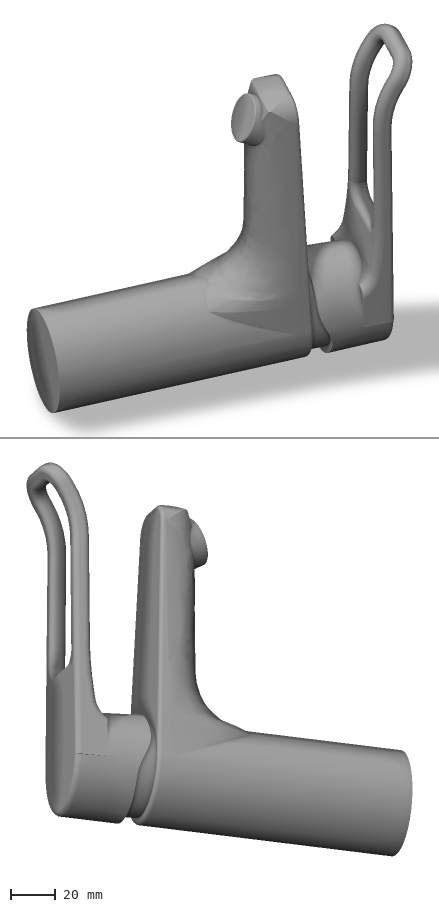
import cadquery as cq
import math


PIPE_RADIUS = 23.95
BODY_LEAN = 2
BODY_BACK_Y = 119.9
BODY_BACK_Z = -0.6
BODY_RIM_DEPTH = 2.0
BODY_BACK_ROUND = 1.8
RISER_TOP_Z = 123.3
RISER_FRONT_Y = 95.8
RISER_FLAT_SIDE = 6.0
RISER_OVERRUN = 5.0
SIDE_LEAN = math.radians(3.7)
HEAD_CORNER_RADIUS = 10.3
HEAD_EDGE_Y = 102.3
HEAD_EDGE_Z = 120.2
HEAD_CROWN_MIDDLE = (107.5, 122.2)
HEAD_CROWN_BACK_Y = 113.0
HEAD_FOOT_Z = 101.0

SADDLE_RADIUS = 25.0
SADDLE_FOOT_Z = 21.6
SADDLE_START = math.radians(6)
SADDLE_STEPS = 5
TOE_FRONT_Y = 60.0
TOE_Z = 17.0
FOOT_FRONT_Y = 50.0

OUTLET_RADIUS = 11.1
OUTLET_TAPER = 5
OUTLET_CHAMFER = 0.4
OUTLET_LENGTH = 11.0
OUTLET_TILT = math.radians(24)
OUTLET_Y = 94.3
OUTLET_Z = 109.6

CAP_FRONT_RADIUS = 24.95
CAP_BACK_RADIUS = 23.8
CAP_FRONT_Y = 122.7
CAP_LOW_FRONT_Y = 129.3
CAP_STEP_TOP_Z = 12.0
CAP_STEP_BOTTOM_Z = -11.0
NECK_RADIUS = 21.5
NECK_OVERLAP = 2.0

HANDLE_BACK_Y = 158.4
ROD_DEPTH = 7.9
ROD_WIDTH = 7.9
ROD_FRONT_ROUND = 3.4
ROD_BACK_ROUND = 2.5
HANDLE_FRONT_Y = HANDLE_BACK_Y - ROD_DEPTH
HANDLE_BOTTOM_Z = -2.0
HANDLE_HALF_WIDTH = 24.2
HANDLE_SIDE_LEAN = math.radians(1.85)
BEND_START_Z = 102.0
BEND_ANGLE = math.radians(32.5)
BEND_RADIUS = 43.0
TIP_STRAIGHT = 0.75
LOOP_CORNER_RADIUS = 9.5
WEB_TOP_Z = 53.0
ROOT_FRONT_Y = 148.2
ROOT_Z = 25.2
ROOT_FLARE_Y = 143.5
ROOT_FLARE_Z = 17.4
WINDOW_BOTTOM_Z = 44.0
WINDOW_CORNER_RADIUS = 6.0

TRIM = 200.0


def body_half_width(z):
    """Half-width of the riser: its sides are tangent to the pipe and lean inwards."""
    return (PIPE_RADIUS - z * math.sin(SIDE_LEAN)) / math.cos(SIDE_LEAN)


def riser_section(z, front_y):
    """U-shaped horizontal section: half an ellipse in front of straight sides."""
    half_width = body_half_width(z)
    back_y = BODY_BACK_Y + RISER_OVERRUN
    side_y = BODY_BACK_Y - RISER_FLAT_SIDE
    nose = cq.Edge.makeEllipse(
        half_width, side_y - front_y, cq.Vector(0, side_y, z), angle1=180, angle2=360
    )
    start = nose.startPoint()
    end = nose.endPoint()
    back_start = cq.Vector(start.x, back_y, z)
    back_end = cq.Vector(end.x, back_y, z)
    return cq.Wire.assembleEdges([
        nose,
        cq.Edge.makeLine(end, back_end),
        cq.Edge.makeLine(back_end, back_start),
        cq.Edge.makeLine(back_start, start),
    ])


def body_outline(depth):
    """Block with the outline of the body along the pipe: round foot, leaning sides, rounded head."""
    tangent_x = PIPE_RADIUS * math.cos(SIDE_LEAN)
    tangent_z = PIPE_RADIUS * math.sin(SIDE_LEAN)
    top_half_width = body_half_width(RISER_TOP_Z)
    return (
        cq.Workplane("XZ").moveTo(-tangent_x, tangent_z).lineTo(-top_half_width, RISER_TOP_Z)
        .lineTo(top_half_width, RISER_TOP_Z).lineTo(tangent_x, tangent_z)
        .threePointArc((0, -PIPE_RADIUS), (-tangent_x, tangent_z))
        .close().extrude(depth)
        .faces(">Z").edges("not |X").fillet(HEAD_CORNER_RADIUS)
    )


def head_side():
    """Side outline of the head: crowned top and a front cut parallel to the outlet disc."""
    foot_y = HEAD_EDGE_Y - (HEAD_EDGE_Z - HEAD_FOOT_Z) * math.tan(OUTLET_TILT)
    return (
        cq.Workplane("YZ").moveTo(0, -TRIM).lineTo(0, HEAD_FOOT_Z).lineTo(foot_y, HEAD_FOOT_Z)
        .lineTo(HEAD_EDGE_Y, HEAD_EDGE_Z)
        .threePointArc(HEAD_CROWN_MIDDLE, (HEAD_CROWN_BACK_Y, RISER_TOP_Z))
        .lineTo(TRIM, RISER_TOP_Z).lineTo(TRIM, -TRIM).close().extrude(TRIM, both=True)
    )


def make_riser():
    foot = riser_section(0, FOOT_FRONT_Y)
    toe = riser_section(TOE_Z, TOE_FRONT_Y)
    saddle = []
    for i in range(SADDLE_STEPS + 1):
        angle = SADDLE_START + (math.pi / 2 - SADDLE_START) * i / SADDLE_STEPS
        z = SADDLE_FOOT_Z + SADDLE_RADIUS * (1 - math.cos(angle))
        front_y = RISER_FRONT_Y - SADDLE_RADIUS * (1 - math.sin(angle))
        saddle.append(riser_section(z, front_y))
    top = riser_section(RISER_TOP_Z + RISER_OVERRUN, RISER_FRONT_Y)

    lower = cq.Workplane(obj=cq.Solid.makeLoft([foot, toe, saddle[0]], True))
    middle = cq.Workplane(obj=cq.Solid.makeLoft(saddle))
    upper = cq.Workplane(obj=cq.Solid.makeLoft([saddle[-1], top], True))
    riser = lower.union(middle).union(upper)
    return riser.intersect(body_outline(-TRIM)).intersect(head_side())


def lean_body(shape, distance):
    """Move a shape forwards along the pipe axis, then tilt it onto the back of the body."""
    leaned = shape.translate((0, -distance, 0)).rotate((0, 0, 0), (1, 0, 0), BODY_LEAN)
    return leaned.translate((0, BODY_BACK_Y, 0))


def make_body():
    """Pipe and riser with a rounded back rim."""
    pipe = cq.Workplane("XZ").circle(PIPE_RADIUS).extrude(TRIM)
    before_rim = cq.Workplane("XZ").rect(TRIM * 2, TRIM * 2).extrude(TRIM)
    behind_end = cq.Workplane("XZ").rect(TRIM * 2, TRIM * 2).extrude(-TRIM)
    rim = body_outline(BODY_RIM_DEPTH).faces(">Y").edges().fillet(BODY_BACK_ROUND)

    riser = make_riser().intersect(lean_body(before_rim, BODY_RIM_DEPTH))
    body = lean_body(pipe, BODY_RIM_DEPTH).union(riser).intersect(behind_end)
    return body.union(lean_body(rim, 0)).translate((0, 0, BODY_BACK_Z))


def make_outlet():
    """Tapered disc facing forwards and up, let into the head."""
    face = cq.Plane(
        origin=(0, OUTLET_Y, OUTLET_Z),
        xDir=(1, 0, 0),
        normal=(0, math.cos(OUTLET_TILT), -math.sin(OUTLET_TILT)),
    )
    disc = cq.Workplane(face).circle(OUTLET_RADIUS).extrude(OUTLET_LENGTH, taper=-OUTLET_TAPER)
    rim = disc.edges(cq.NearestToPointSelector((0, OUTLET_Y, OUTLET_Z)))
    return rim.chamfer(OUTLET_CHAMFER)


def make_cap():
    """Conical cap, stepped back below its axis, on a plain round neck."""
    cap = (
        cq.Workplane("XY").moveTo(0, CAP_FRONT_Y).lineTo(CAP_FRONT_RADIUS, CAP_FRONT_Y)
        .lineTo(CAP_BACK_RADIUS, HANDLE_BACK_Y).lineTo(0, HANDLE_BACK_Y).close()
        .revolve(360, (0, 0, 0), (0, 1, 0))
        .faces(">Y").edges().fillet(ROD_BACK_ROUND)
    )
    down = (0, -1)
    step_end = (CAP_LOW_FRONT_Y, CAP_STEP_BOTTOM_Z)
    relief = (
        cq.Workplane("YZ").moveTo(0, CAP_STEP_TOP_Z).lineTo(CAP_FRONT_Y, CAP_STEP_TOP_Z)
        .spline([step_end], tangents=[down, down], includeCurrent=True)
        .lineTo(CAP_LOW_FRONT_Y, -TRIM).lineTo(0, -TRIM).close().extrude(TRIM, both=True)
    )
    neck_back_y = CAP_LOW_FRONT_Y + NECK_OVERLAP
    neck_front_y = BODY_BACK_Y - NECK_OVERLAP
    neck = (
        cq.Workplane("XZ", origin=(0, neck_back_y, 0)).circle(NECK_RADIUS)
        .extrude(neck_back_y - neck_front_y)
    )
    return cap.cut(relief).union(neck)


def handle_half_width(z):
    return HANDLE_HALF_WIDTH - z * math.tan(HANDLE_SIDE_LEAN)


def arc_point(start, forward, sideways, radius, angle):
    """Point on an arc that leaves start along forward and turns towards sideways."""
    return start + forward * (radius * math.sin(angle)) + sideways * (radius * (1 - math.cos(angle)))


def rod_path():
    """Centre line of half the loop: up the leg, back around the bend, over to the middle."""
    across = cq.Vector(1, 0, 0)
    backward = cq.Vector(0, 1, 0)
    up = cq.Vector(math.sin(HANDLE_SIDE_LEAN), 0, math.cos(HANDLE_SIDE_LEAN))
    tip_up = up * math.cos(BEND_ANGLE) + backward * math.sin(BEND_ANGLE)
    inward = (across - tip_up * across.dot(tip_up)).normalized()
    turn = math.acos(across.dot(tip_up))

    middle_y = HANDLE_BACK_Y - ROD_DEPTH / 2
    foot_x = ROD_WIDTH / 2 - handle_half_width(WINDOW_BOTTOM_Z)
    foot = cq.Vector(foot_x, middle_y, WINDOW_BOTTOM_Z)
    leg_top = foot + up * ((BEND_START_Z - WINDOW_BOTTOM_Z) / math.cos(HANDLE_SIDE_LEAN))
    bend_middle = arc_point(leg_top, up, backward, BEND_RADIUS, BEND_ANGLE / 2)
    bend_end = arc_point(leg_top, up, backward, BEND_RADIUS, BEND_ANGLE)
    corner_start = bend_end + tip_up * TIP_STRAIGHT
    corner_middle = arc_point(corner_start, tip_up, inward, LOOP_CORNER_RADIUS, turn / 2)
    corner_end = arc_point(corner_start, tip_up, inward, LOOP_CORNER_RADIUS, turn)
    return cq.Wire.assembleEdges([
        cq.Edge.makeLine(foot, leg_top),
        cq.Edge.makeThreePointArc(leg_top, bend_middle, bend_end),
        cq.Edge.makeLine(bend_end, corner_start),
        cq.Edge.makeThreePointArc(corner_start, corner_middle, corner_end),
        cq.Edge.makeLine(corner_end, cq.Vector(0, corner_end.y, corner_end.z)),
    ])


def make_loop():
    """Rod with a rounded section, swept along one half of the loop and mirrored."""
    path = rod_path()
    section_plane = cq.Plane(
        origin=path.startPoint().toTuple(), xDir=(0, 1, 0), normal=path.tangentAt(0).toTuple()
    )
    section = (
        cq.Sketch().rect(ROD_DEPTH, ROD_WIDTH)
        .vertices("<X").fillet(ROD_FRONT_ROUND).reset()
        .vertices(">X").fillet(ROD_BACK_ROUND)
    )
    half = cq.Workplane(section_plane).placeSketch(section).sweep(cq.Workplane(obj=path))
    return half.union(half.mirror("YZ"))


def web_block():
    """Square-edged web: leaning sides, and a front that flares out towards the cap."""
    bottom = handle_half_width(HANDLE_BOTTOM_Z)
    top = handle_half_width(WEB_TOP_Z)
    outline = [
        (-bottom, HANDLE_BOTTOM_Z),
        (-top, WEB_TOP_Z),
        (top, WEB_TOP_Z),
        (bottom, HANDLE_BOTTOM_Z),
    ]
    front_middle = (HANDLE_FRONT_Y + (ROOT_FRONT_Y - HANDLE_FRONT_Y) / 4, (WEB_TOP_Z + ROOT_Z) / 2)
    side = (
        cq.Workplane("YZ").moveTo(HANDLE_BACK_Y, HANDLE_BOTTOM_Z).lineTo(HANDLE_BACK_Y, WEB_TOP_Z)
        .lineTo(HANDLE_FRONT_Y, WEB_TOP_Z).threePointArc(front_middle, (ROOT_FRONT_Y, ROOT_Z))
        .tangentArcPoint((ROOT_FLARE_Y, ROOT_FLARE_Z), relative=False)
        .lineTo(ROOT_FLARE_Y, HANDLE_BOTTOM_Z).close().extrude(TRIM, both=True)
    )
    return side.intersect(cq.Workplane("XZ").polyline(outline).close().extrude(-TRIM))


def make_web():
    """Web with rounded upright edges and the rounded lower end of the loop's window."""
    web = web_block()
    back_z = (HANDLE_BOTTOM_Z + WEB_TOP_Z) / 2
    front_z = (ROOT_Z + WEB_TOP_Z) / 2
    for side in (-1, 1):
        back_edge = (side * handle_half_width(back_z), HANDLE_BACK_Y, back_z)
        front_edge = (side * handle_half_width(front_z), HANDLE_FRONT_Y, front_z)
        web = web.edges(cq.NearestToPointSelector(back_edge)).fillet(ROD_BACK_ROUND)
        web = web.edges(cq.NearestToPointSelector(front_edge)).fillet(ROD_FRONT_ROUND)

    window_width = 2 * (handle_half_width(WINDOW_BOTTOM_Z) - ROD_WIDTH)
    window = (
        cq.Workplane("XZ", origin=(0, 0, WINDOW_BOTTOM_Z))
        .rect(window_width, TRIM).extrude(-TRIM).translate((0, 0, TRIM / 2))
        .edges("|Y and <Z").fillet(WINDOW_CORNER_RADIUS)
    )
    web = web.cut(window)
    for y, radius in ((HANDLE_BACK_Y, ROD_BACK_ROUND), (HANDLE_FRONT_Y, ROD_FRONT_ROUND)):
        web = web.edges(cq.NearestToPointSelector((0, y, WINDOW_BOTTOM_Z))).fillet(radius)
    return web


result = make_body().union(make_outlet()).union(make_cap()).union(make_web()).union(make_loop())